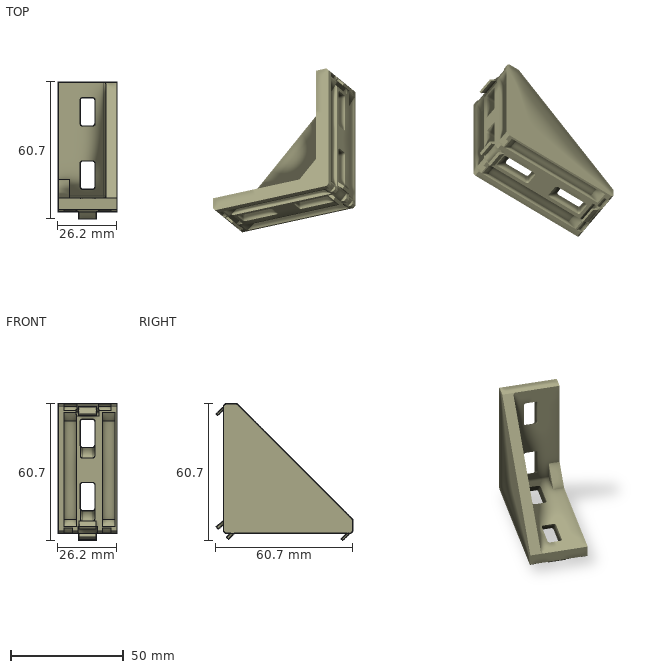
import cadquery as cq
import math


width = 26.2
overall = 60.7
clip_reach = 3.15
leg = overall - clip_reach
plate = 6.05
web = 5.0
gusset_leg = 8.4
chamfer = 1.0
inner_fillet = 1.0
mid_x = width / 2

slot_width = 6.45
slot_inner_length = 12.4
slot_outer_length = 17.1
slot_tops = (22.5, 50.55)
slot_fillet = 0.9

groove_width = 5.5
groove_starts = (2.75, 19.8)
groove_depth = 2.7
groove_bottom = 3.0
groove_top = 53.65
groove_bottom_slope = 3.2
groove_top_slope = 3.7

notch_depth = 1.8
end_notch_starts = (2.75, 17.9)
end_notch_width = 5.6
end_notch_center = 56.25
clip_notch_width = 10.1
clip_notch_center = 53.9

corner_cut_starts = (2.75, 19.8)
corner_cut_width = 3.7
corner_cut_leg = 2.35
clip_cut_width = 8.6
clip_cut_leg = 3.1

end_clip_width = 7.9
end_clip_thickness = 1.0
end_clip_root = 56.1
corner_clip_width = 7.5
corner_clip_thickness = 1.4
upright_clip_root = 5.6
upright_clip_drop = 2.6
flat_clip_root = 4.9
flat_clip_reach = 2.7
flat_clip_drop = 2.55
clip_embed = 0.85


def prism(points, x_start, x_length):
    """Extrude a (y, z) outline along +X."""
    return cq.Workplane("YZ").polyline(points).close().extrude(x_length).translate((x_start, 0, 0))


def swap_plates(shape):
    """Mirror a feature of the upright plate onto the flat plate."""
    return shape.mirror((0, -1, 1))


def bracket_body():
    outline = [
        (chamfer, 0),
        (leg - chamfer, 0),
        (leg, chamfer),
        (leg, plate),
        (plate, leg),
        (chamfer, leg),
        (0, leg - chamfer),
        (0, chamfer),
    ]
    cavity = (
        cq.Workplane("XY")
        .box(width, leg, leg, centered=False)
        .edges("(<Y and <Z) or (<Y and >X) or (<Z and >X)")
        .fillet(inner_fillet)
        .translate((-web, plate, plate))
    )
    gusset = prism([(plate, plate), (plate + gusset_leg, plate), (plate, plate + gusset_leg)], 0, web)
    return prism(outline, 0, width).cut(cavity).union(gusset)


def slot(top):
    inner_bottom = top - slot_inner_length
    outer_bottom = top - slot_outer_length
    outline = [(0, top), (plate, top), (plate, inner_bottom), (0, outer_bottom)]
    block = prism(outline, mid_x - slot_width / 2, slot_width)
    return block.edges("not(|Z or |X)").fillet(slot_fillet)


def groove(x_start):
    outline = [
        (0, groove_bottom),
        (groove_depth, groove_bottom + groove_bottom_slope),
        (groove_depth, groove_top - groove_top_slope),
        (0, groove_top),
    ]
    return prism(outline, x_start, groove_width)


def v_notch(x_start, x_length, center):
    """Right-angled notch; its mouth is drawn past the face to clear the chamfer."""
    outline = [
        (notch_depth, center),
        (-notch_depth, center + 2 * notch_depth),
        (-notch_depth, center - 2 * notch_depth),
    ]
    return prism(outline, x_start, x_length)


def corner_cut(x_start, x_length, cut_leg):
    """Wedge that removes the outer corner edge at 45 degrees."""
    return prism([(0, 0), (cut_leg, 0), (0, cut_leg)], x_start, x_length)


def clip(root, reach, drop, thickness, clip_width):
    """Strip leaving the upright plate's outer face at height root, outward and down."""
    length = math.hypot(reach, drop)
    inward = thickness * drop / length
    down = thickness * reach / length
    buried_y = clip_embed + inward
    buried_z = root + clip_embed * drop / reach - down
    outline = [
        (0, root),
        (-reach, root - drop),
        (inward - reach, root - drop - down),
        (buried_y, buried_z),
    ]
    return prism(outline, mid_x - clip_width / 2, clip_width)


plate_cuts = [slot(top) for top in slot_tops]
plate_cuts += [groove(x) for x in groove_starts]
plate_cuts += [v_notch(x, end_notch_width, end_notch_center) for x in end_notch_starts]
plate_cuts.append(v_notch(mid_x - clip_notch_width / 2, clip_notch_width, clip_notch_center))

result = bracket_body()
for tool in plate_cuts:
    result = result.cut(tool).cut(swap_plates(tool))

for x in corner_cut_starts:
    result = result.cut(corner_cut(x, corner_cut_width, corner_cut_leg))
result = result.cut(corner_cut(mid_x - clip_cut_width / 2, clip_cut_width, clip_cut_leg))

end_clip = clip(end_clip_root, clip_reach, clip_reach, end_clip_thickness, end_clip_width)
upright_clip = clip(
    upright_clip_root, clip_reach, upright_clip_drop, corner_clip_thickness, corner_clip_width
)
flat_clip = swap_plates(
    clip(flat_clip_root, flat_clip_reach, flat_clip_drop, corner_clip_thickness, corner_clip_width)
)
for strip in (end_clip, swap_plates(end_clip), upright_clip, flat_clip):
    result = result.union(strip)